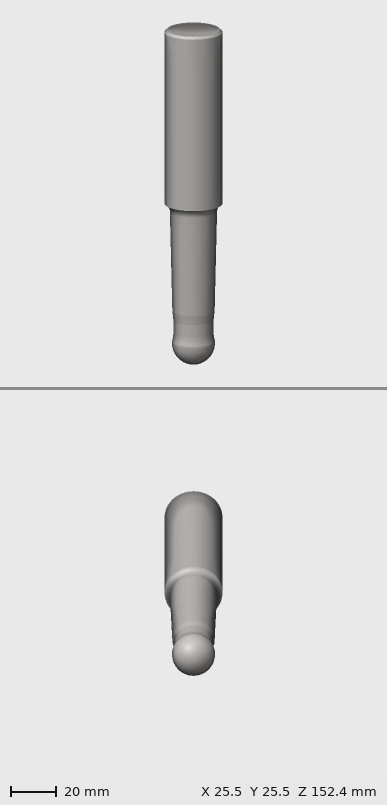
import cadquery as cq
import math

total_length = 152.4
shank_bottom = 73.2
shoulder_bottom = 69.5
neck_bottom = 24.2
groove_top = 20.1
groove_bottom = 14.5
belt_top = 10.4

shank_diameter = 25.5
shank_radius = shank_diameter / 2
neck_top_radius = 10.4
neck_bottom_radius = 9.3
groove_radius = 8.8
ball_radius = 9.5

top_chamfer = 1.0


def tangent_arc_middle(start_radius, start_z, end_radius, end_z):
    """Middle point of an arc that is parallel to the Z axis at its start."""
    width = end_radius - start_radius
    height = end_z - start_z
    half_turn = math.atan2(width, abs(height))
    arc_radius = abs(height) / math.sin(2 * half_turn)
    middle_radius = start_radius + arc_radius * (1 - math.cos(half_turn))
    middle_z = start_z + math.copysign(arc_radius * math.sin(half_turn), height)
    return middle_radius, middle_z


def revolve_about_z(profile):
    """Turn a closed half profile, drawn in the XZ plane, around the Z axis."""
    return profile.revolve(360, (0, 0, 0), (0, 1, 0))


def make_holder():
    """Chamfered shank, concave shoulder, tapered neck, groove and the flare that meets the tip."""
    flare_middle = tangent_arc_middle(groove_radius, groove_bottom, ball_radius, belt_top)
    shoulder_middle = tangent_arc_middle(neck_top_radius, shoulder_bottom, shank_radius, shank_bottom)
    profile = (
        cq.Workplane("XZ")
        .moveTo(0, belt_top)
        .lineTo(ball_radius, belt_top)
        .threePointArc(flare_middle, (groove_radius, groove_bottom))
        .lineTo(groove_radius, groove_top)
        .lineTo(neck_bottom_radius, neck_bottom)
        .lineTo(neck_top_radius, shoulder_bottom)
        .threePointArc(shoulder_middle, (shank_radius, shank_bottom))
        .lineTo(shank_radius, total_length)
        .lineTo(0, total_length)
        .close()
    )
    return revolve_about_z(profile).faces(">Z").chamfer(top_chamfer)


def make_ball_tip():
    """Half ball with a short cylindrical belt above it."""
    arc_middle = (
        ball_radius * math.sin(math.pi / 4),
        ball_radius * (1 - math.cos(math.pi / 4)),
    )
    profile = (
        cq.Workplane("XZ")
        .moveTo(0, 0)
        .threePointArc(arc_middle, (ball_radius, ball_radius))
        .lineTo(ball_radius, belt_top)
        .lineTo(0, belt_top)
        .close()
    )
    return revolve_about_z(profile)


holder = make_holder()
ball_tip = make_ball_tip()

result = cq.Compound.makeCompound([holder.val(), ball_tip.val()])